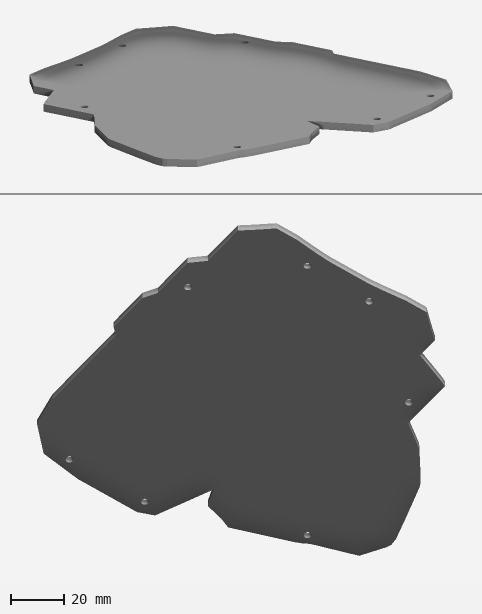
import cadquery as cq

width = 145.2
depth = 148.8
thickness = 3.0
hole_diameter = 3.0

upper_edge_y = 145.7
lower_ledge_y = 31.2

left_mid_y = 94.0
half_profile = [
    (1.5, 9.2),
    (1.0, 15.3),
    (0.0, 25.5),
    (0.0, 35.1),
    (5.7, 41.5),
    (9.5, 46.1),
]

left_side = [(inset, left_mid_y - offset) for inset, offset in reversed(half_profile)]
left_side += [(inset, left_mid_y + offset) for inset, offset in half_profile]
left_foot_y = left_side[0][1]
shoulder_y = left_side[-1][1]

top_side = [
    (28.4, shoulder_y),
    (33.8, upper_edge_y),
    (52.5, upper_edge_y),
    (58.0, depth),
    (76.2, depth),
    (79.0, upper_edge_y),
    (118.9, upper_edge_y),
]

right_side = [
    (132.6, 142.7),
    (142.7, 132.1),
    (width, 114.3),
    (width, 86.5),
    (142.5, 80.0),
    (118.9, 70.1),
    (127.0, 67.0),
    (129.0, 59.0),
    (131.0, 54.5),
    (122.0, 30.0),
    (120.5, 27.0),
    (119.2, 24.8),
    (113.0, 6.4),
]

bottom_side = [
    (103.1, 0.6),
    (101.5, 0.0),
    (98.0, 0.3),
    (87.5, 3.5),
    (72.0, 8.6),
    (69.8, 9.7),
    (56.4, 20.4),
    (48.7, lower_ledge_y),
    (25.6, lower_ledge_y),
    (24.5, 33.3),
    (18.7, left_foot_y),
]

hole_centers = [
    (43.5, 138.2),
    (8.0, 108.6),
    (8.5, 79.3),
    (40.2, 37.2),
    (116.2, 28.1),
    (139.3, 87.2),
    (139.3, 122.6),
]

outline = left_side + top_side + right_side + bottom_side
plate = cq.Workplane("XY").polyline(outline).close().extrude(thickness)

result = plate.faces(">Z").workplane(origin=(0, 0, thickness)).pushPoints(hole_centers).hole(hole_diameter)